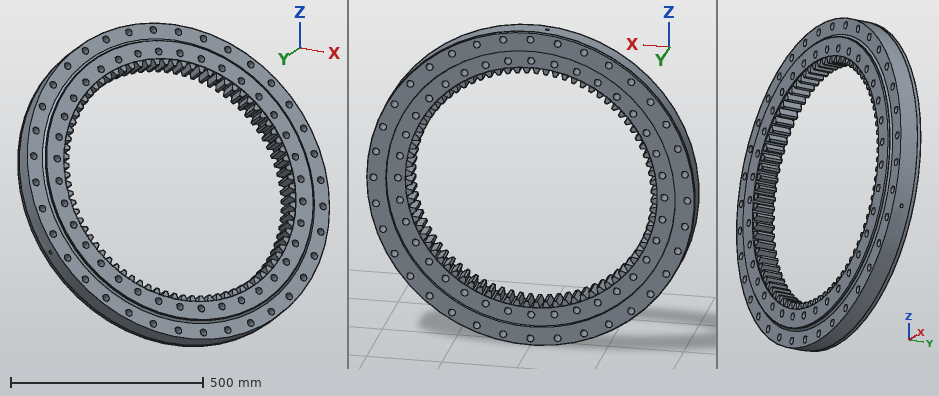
import cadquery as cq
import math


outer_radius = 435.5
back_radius = 435.0
back_land_width = 10.5
overall_width = 70.0
face_offset = 10.0
outer_bolt_radius = 416.0
bolt_hole_diameter = 18.0
bolt_count = 36

grease_hole_diameter = 9.0
grease_hole_count = 3
grease_hole_runout = 9.0
grease_hole_y = 35.0
grease_start_angle = 95.0

joint_radius = 384.0
root_radius = 334.5
inner_bolt_radius = 354.0
inner_back_y = overall_width - face_offset

tooth_count = 80
tip_radius = 317.0
tooth_tip_width = 7.0
tooth_root_width = 21.0
tooth_recess = 3.5
tooth_tip_chamfer = 2.0
tooth_overlap = 2.0

seal_base_radius = 392.0
seal_top_radius = 386.0
seal_height = 4.0


def disc(radius, front_y, back_y):
    """Solid disc on the Y axis between two Y positions."""
    return cq.Workplane("XZ", origin=(0, back_y, 0)).circle(radius).extrude(back_y - front_y)


def bolt_holes(circle_radius):
    """Cutting cylinders for one full bolt circle, long enough to pass through either ring."""
    return (
        cq.Workplane("XZ", origin=(0, overall_width, 0))
        .polarArray(circle_radius, 0, 360, bolt_count)
        .circle(bolt_hole_diameter / 2)
        .extrude(overall_width)
    )


def grease_hole(angle):
    """Radial cutting cylinder from the joint between the rings out past the rim."""
    direction = cq.Vector(math.cos(math.radians(angle)), 0, math.sin(math.radians(angle)))
    start = direction * joint_radius + cq.Vector(0, grease_hole_y, 0)
    length = outer_radius - joint_radius + grease_hole_runout
    return cq.Solid.makeCylinder(grease_hole_diameter / 2, length, start, direction)


def make_outer_ring():
    land_front_y = overall_width - back_land_width
    ring = disc(outer_radius, face_offset, land_front_y)
    ring = ring.union(disc(back_radius, land_front_y, overall_width))
    ring = ring.cut(disc(joint_radius, 0, overall_width))
    ring = ring.cut(bolt_holes(outer_bolt_radius))
    for index in range(grease_hole_count):
        ring = ring.cut(grease_hole(grease_start_angle + index * 360 / grease_hole_count))
    return ring


def make_teeth():
    """Trapezoidal teeth pointing inwards, chamfered at both tip ends, with a gap centred on +X."""
    base_radius = root_radius + tooth_overlap
    profile = [
        (tip_radius, -tooth_tip_width / 2),
        (root_radius, -tooth_root_width / 2),
        (base_radius, -tooth_root_width / 2),
        (base_radius, tooth_root_width / 2),
        (root_radius, tooth_root_width / 2),
        (tip_radius, tooth_tip_width / 2),
    ]
    tooth = (
        cq.Workplane("XZ", origin=(0, inner_back_y - tooth_recess, 0))
        .polyline(profile)
        .close()
        .extrude(inner_back_y - 2 * tooth_recess)
        .faces("<X")
        .edges("|Z")
        .chamfer(tooth_tip_chamfer)
        .val()
    )
    pitch_angle = 360 / tooth_count
    return [
        tooth.rotate((0, 0, 0), (0, 1, 0), (index + 0.5) * pitch_angle)
        for index in range(tooth_count)
    ]


def make_inner_ring():
    ring = disc(joint_radius, 0, inner_back_y)
    ring = ring.cut(disc(root_radius, 0, inner_back_y))
    ring = ring.cut(bolt_holes(inner_bolt_radius))
    return cq.Workplane(ring.val().fuse(*make_teeth()))


def make_seal():
    """Conical lip on the outer ring's front face, closing the joint around the inner ring."""
    front_y = face_offset - seal_height
    return (
        cq.Workplane("XY")
        .moveTo(joint_radius, face_offset)
        .lineTo(seal_base_radius, face_offset)
        .lineTo(seal_top_radius, front_y)
        .lineTo(joint_radius, front_y)
        .close()
        .revolve(360, (0, 0, 0), (0, 1, 0))
    )


outer_ring = make_outer_ring()
inner_ring = make_inner_ring()
seal = make_seal()

result = cq.Compound.makeCompound([outer_ring.val(), inner_ring.val(), seal.val()])